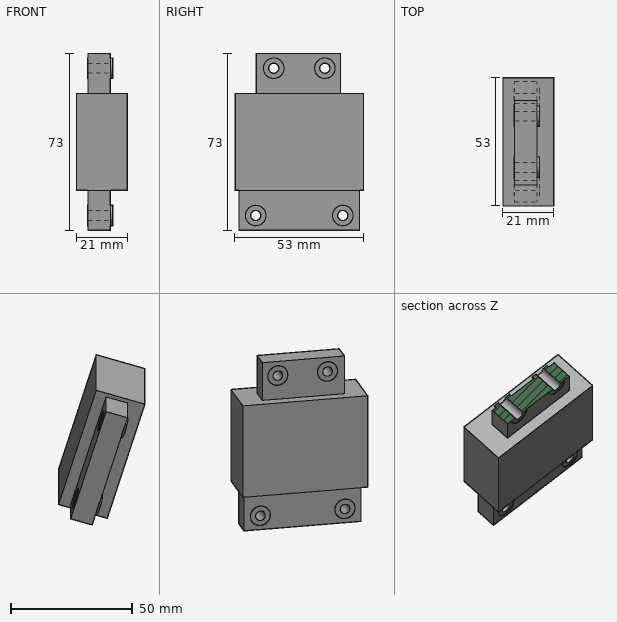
import cadquery as cq

body_thickness = 21.0
body_width = 53.0
body_height = 40.0
total_height = 73

tab_thickness = 9.3
tab_front_inset = 4.75
tab_height = (total_height - body_height) / 2
tab_front_x = -body_thickness / 2 + tab_front_inset
tab_back_x = tab_front_x + tab_thickness
upper_tab_width = 34.9
upper_tab_shift = -0.4
lower_tab_width = 49.8

hole_diameter = 4.1
pad_diameter = 8.5
front_pad_height = 0.2
back_pad_height = 1.0
hole_end_distance = 6.1
upper_hole_spacing = 21.1
lower_hole_spacing = 35.9

pad_front_x = tab_front_x - front_pad_height
pad_span = front_pad_height + tab_thickness + back_pad_height


def x_cylinder(diameter, y, z):
    """Cylinder along X, reaching from front pad face to back pad face."""
    return (
        cq.Workplane("YZ", origin=(pad_front_x, y, z))
        .circle(diameter / 2)
        .extrude(pad_span)
    )


def mounting_tab(side, width, shift, hole_spacing):
    """Drilled tab above (side = 1) or below (side = -1) the block."""
    tab_z = side * (body_height + tab_height) / 2
    hole_z = side * (total_height / 2 - hole_end_distance)
    hole_places = [-hole_spacing / 2, hole_spacing / 2]
    tab = cq.Workplane("XY").box(tab_thickness, width, tab_height)
    tab = tab.translate(((tab_front_x + tab_back_x) / 2, shift, tab_z))
    for y in hole_places:
        tab = tab.union(x_cylinder(pad_diameter, y, hole_z))
        tab = tab.cut(x_cylinder(hole_diameter, y, hole_z))
    return tab


body = cq.Workplane("XY").box(body_thickness, body_width, body_height)
upper_tab = mounting_tab(1, upper_tab_width, upper_tab_shift, upper_hole_spacing)
lower_tab = mounting_tab(-1, lower_tab_width, 0, lower_hole_spacing)
result = body.union(upper_tab).union(lower_tab)